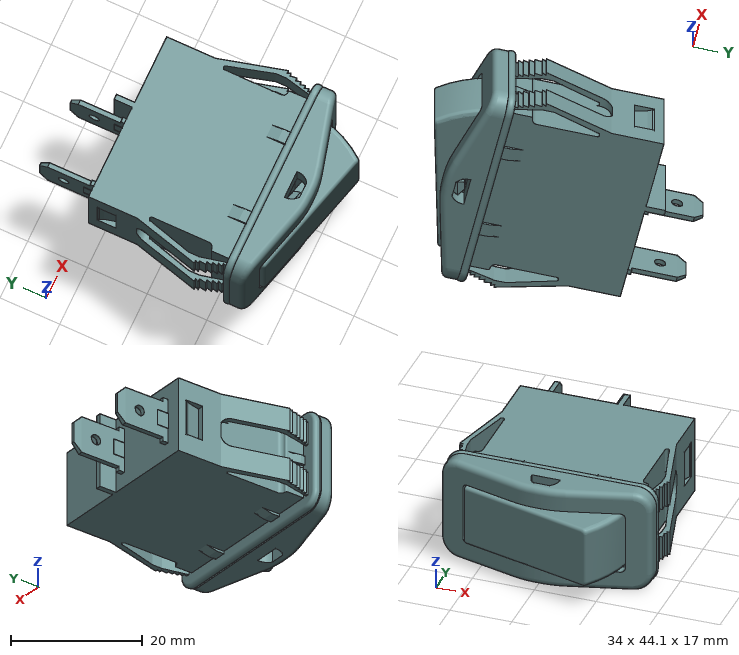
import cadquery as cq
import math

TILT = math.radians(15)

HOUSING_HEIGHT = 12.8
HOUSING_HALF_WIDTH = 14.1
HOUSING_BACK = 23.73

ARM_ROOT_Y = 15.55
ARM_TIP_X = 17.0
ARM_END_X = 15.35
TOOTH_EDGES_Y = (4.67, 4.1, 3.0, 2.15, 1.32, 0.6)
TOOTH_TAPER = 0.32
TOOTH_STEP = 0.5
ARM_SLOT_WIDTH = 4.85
ARM_SLOT_BACK = 15.7
ARM_SLOT_RADIUS = 1.8

GAP_WALL_X = 13.0
GAP_BACK = 13.85
GAP_END_RADIUS = 0.33
GAP_OUTER_X = 15.75
GAP_OUTER_BACK = 6.17
GAP_OUTER_FRONT = 4.4
GAP_FRONT_X = 14.77
FOOT_CURVE_BACK = 4.05
FOOT_CURVE_RADIUS = 0.8
FOOT_CORNER_RADIUS = HOUSING_HALF_WIDTH - GAP_WALL_X - FOOT_CURVE_RADIUS

WINDOW_HEIGHT = 6.0
WINDOW_BACK = 22.25
WINDOW_FRONT = 19.15
WINDOW_LEDGE_DEPTH = 0.2
WINDOW_LEDGE_FRONT = 21.95
WINDOW_RAMP_START_DEPTH = 0.55
WINDOW_RAMP_BACK = 21.3
WINDOW_DEPTH = 1.05

CATCH_SPACING = 14.02
CATCH_WIDTH = 2.07
CATCH_RISE = 0.45
CATCH_BACK = 3.18
CATCH_RAMP_END = 1.32
SIDE_CATCH_WIDTH = 1.55
SIDE_CATCH_RISE = 0.4
SIDE_CATCH_BACK = 2.75
SIDE_CATCH_RAMP_END = 0.65

BLADE_POSITIONS = (-11.05, 0)
BLADE_THICKNESS = 0.8
BLADE_WIDTH = 6.25
BLADE_TIP = 33.2
BLADE_CHAMFER = 1.4
BLADE_TAPER = 0.15
BLADE_HOLE_DIAMETER = 1.7
BLADE_HOLE_Y = 29.1
SHOULDER_WIDTH = 7.65
SHOULDER_BACK = 24.7
PAD_WIDTH = 2.65
PAD_BACK = 25.75
PAD_RISE = 0.1
BARRIER_X = 2.1
BARRIER_THICKNESS = 0.9
BARRIER_BACK = 26.75

BEZEL_WIDTH = 34.0
BEZEL_HEIGHT = 17.0
BEZEL_CORNER_RADIUS = 3.0
BEZEL_CREST_Y = -7.35
BEZEL_CREST_HALF_WIDTH = 0.5
BEZEL_CREST_RADIUS = 14.85
BEZEL_EDGE_RADIUS = 0.95
GASKET_THICKNESS = 1.3
GASKET_CORNER_RADIUS = 2.6
GASKET_BACK_RADIUS = 0.57
GASKET_FRONT_RADIUS = 0.5

OPENING_WIDTH = 26.3
OPENING_HEIGHT = 10.3
OPENING_CORNER_RADIUS = 0.8
OPENING_FLOOR = -3.1
PIVOT_DIAMETER = 4.5
PIVOT_Y = -3.85
PIVOT_BACK = -3.6
PIVOT_FRONT = -5.7

ROCKER_HEIGHT = 10.0
ROCKER_LEFT = -12.8
ROCKER_FRONT_AT_CENTER = -8.55
ROCKER_TIP_X = 9.0
ROCKER_END_MIDDLE = (11.4, -7.15)
ROCKER_END_BACK = (12.75, OPENING_FLOOR)
ROCKER_EDGE_RADIUS = 0.55
ROCKER_END_EDGE_RADIUS = 0.8
ROCKER_UNDERSIDE_AT_CENTER = -3.9
ROCKER_UNDERCUT_END = 2.65
LUG_DIAMETER = 3.0
LUG_CENTER = (-1.4, -4.8)
LUG_BACK_FLAT = 1.1
LUG_CORNER_FLAT = 0.65
LUG_CORNER_ANGLE = 150
LUG_TOP = 6.4
LUG_RAMP_DROP = 0.9


def block(x0, x1, y0, y1, height):
    """Box between two X and two Y places, centred on Z = 0."""
    return cq.Workplane("XY").box(x1 - x0, y1 - y0, height).translate(((x0 + x1) / 2, (y0 + y1) / 2, 0))


def prism(outline, height):
    """Closed outline extruded by the full height, half to each side of its plane."""
    return outline.close().extrude(height / 2, both=True)


def both_sides(solid):
    """The solid together with its mirror image across X = 0."""
    return solid.union(solid.mirror("YZ"))


def make_housing():
    outline = (
        cq.Workplane("XY")
        .moveTo(0, 0)
        .lineTo(0, HOUSING_BACK)
        .lineTo(HOUSING_HALF_WIDTH, HOUSING_BACK)
        .lineTo(HOUSING_HALF_WIDTH, ARM_ROOT_Y)
    )
    for y in TOOTH_EDGES_Y:
        crest_x = ARM_TIP_X - (TOOTH_EDGES_Y[0] - y) * TOOTH_TAPER
        outline = outline.lineTo(crest_x, y).lineTo(crest_x - TOOTH_STEP, y)
    half = prism(outline.lineTo(ARM_END_X, 0), HOUSING_HEIGHT)
    half = half.cut(make_arm_gap()).cut(make_arm_slot()).cut(make_side_window())
    return both_sides(half)


def make_arm_gap():
    end_y = GAP_BACK - GAP_END_RADIUS
    curve_x = GAP_WALL_X + FOOT_CURVE_RADIUS
    curve_y = FOOT_CURVE_BACK - FOOT_CURVE_RADIUS
    outline = (
        cq.Workplane("XY")
        .moveTo(GAP_FRONT_X, 0)
        .lineTo(GAP_OUTER_X, GAP_OUTER_FRONT)
        .lineTo(GAP_OUTER_X, GAP_OUTER_BACK)
        .lineTo(GAP_WALL_X + 2 * GAP_END_RADIUS, end_y)
        .threePointArc((GAP_WALL_X + GAP_END_RADIUS, GAP_BACK), (GAP_WALL_X, end_y))
        .lineTo(GAP_WALL_X, FOOT_CURVE_BACK)
        .radiusArc((curve_x, curve_y), -FOOT_CURVE_RADIUS)
        .radiusArc((HOUSING_HALF_WIDTH, curve_y - FOOT_CORNER_RADIUS), FOOT_CORNER_RADIUS)
        .lineTo(HOUSING_HALF_WIDTH, 0)
    )
    return prism(outline, HOUSING_HEIGHT)


def make_arm_slot():
    """Slot through the arm into the gap, stopping short of the solid foot beside the bezel."""
    slot = block(GAP_WALL_X, ARM_TIP_X, 0, ARM_SLOT_BACK, ARM_SLOT_WIDTH)
    slot = slot.edges("|X and >Y").fillet(ARM_SLOT_RADIUS)
    return slot.cut(block(GAP_WALL_X, HOUSING_HALF_WIDTH, 0, FOOT_CURVE_BACK, ARM_SLOT_WIDTH))


def make_side_window():
    wall = HOUSING_HALF_WIDTH
    outline = cq.Workplane("XY").polyline([
        (wall, WINDOW_BACK),
        (wall - WINDOW_LEDGE_DEPTH, WINDOW_BACK),
        (wall - WINDOW_LEDGE_DEPTH, WINDOW_LEDGE_FRONT),
        (wall - WINDOW_RAMP_START_DEPTH, WINDOW_RAMP_BACK),
        (wall - WINDOW_DEPTH, WINDOW_FRONT),
        (wall, WINDOW_FRONT),
    ])
    return prism(outline, WINDOW_HEIGHT)


def make_catches():
    side = HOUSING_HALF_WIDTH
    outline = cq.Workplane("XY").polyline([
        (side, SIDE_CATCH_BACK),
        (side + SIDE_CATCH_RISE, SIDE_CATCH_RAMP_END),
        (side + SIDE_CATCH_RISE, 0),
        (side, 0),
    ])
    catches = both_sides(prism(outline, SIDE_CATCH_WIDTH))
    top = HOUSING_HEIGHT / 2
    outline = cq.Workplane("YZ").polyline([
        (CATCH_BACK, top),
        (CATCH_RAMP_END, top + CATCH_RISE),
        (0, top + CATCH_RISE),
        (0, top),
    ])
    top_catches = both_sides(prism(outline, CATCH_WIDTH).translate((CATCH_SPACING / 2, 0, 0)))
    return catches.union(top_catches).union(top_catches.mirror("XY"))


def make_blade(x):
    left = x - BLADE_THICKNESS / 2
    right = x + BLADE_THICKNESS / 2
    blade = block(left, right, HOUSING_BACK, BLADE_TIP, BLADE_WIDTH)
    blade = blade.edges("|X and >Y").chamfer(BLADE_CHAMFER)
    tapered = cq.Workplane("XY").polyline([
        (left, HOUSING_BACK),
        (left, BLADE_TIP - BLADE_CHAMFER),
        (left + BLADE_TAPER, BLADE_TIP),
        (right - BLADE_TAPER, BLADE_TIP),
        (right, BLADE_TIP - BLADE_CHAMFER),
        (right, HOUSING_BACK),
    ])
    blade = blade.intersect(prism(tapered, BLADE_WIDTH))
    hole = cq.Workplane("YZ").center(BLADE_HOLE_Y, 0).circle(BLADE_HOLE_DIAMETER / 2)
    blade = blade.cut(hole.extrude(BLADE_THICKNESS, both=True).translate((x, 0, 0)))
    shoulder = block(left, right, HOUSING_BACK, SHOULDER_BACK, SHOULDER_WIDTH)
    pad = block(left - PAD_RISE, right, HOUSING_BACK, PAD_BACK, PAD_WIDTH)
    return blade.union(shoulder).union(pad)


def make_barrier():
    half = BARRIER_THICKNESS / 2
    return block(BARRIER_X - half, BARRIER_X + half, HOUSING_BACK, BARRIER_BACK, HOUSING_HEIGHT)


def make_gasket():
    half = BEZEL_WIDTH / 2
    gasket = block(-half, half, -GASKET_THICKNESS, 0, BEZEL_HEIGHT)
    gasket = gasket.edges("|Y").fillet(GASKET_CORNER_RADIUS)
    gasket = gasket.faces(">Y").edges().fillet(GASKET_BACK_RADIUS)
    return gasket.faces("<Y").edges().fillet(GASKET_FRONT_RADIUS)


def make_bezel():
    half = BEZEL_WIDTH / 2
    bend_x = BEZEL_CREST_HALF_WIDTH + BEZEL_CREST_RADIUS * math.sin(TILT)
    bend_y = BEZEL_CREST_Y + BEZEL_CREST_RADIUS * (1 - math.cos(TILT))
    side_y = bend_y + (half - bend_x) * math.tan(TILT)
    outline = (
        cq.Workplane("XY")
        .moveTo(-half, -GASKET_THICKNESS)
        .lineTo(-half, side_y)
        .lineTo(-bend_x, bend_y)
        .radiusArc((-BEZEL_CREST_HALF_WIDTH, BEZEL_CREST_Y), -BEZEL_CREST_RADIUS)
        .lineTo(BEZEL_CREST_HALF_WIDTH, BEZEL_CREST_Y)
        .radiusArc((bend_x, bend_y), -BEZEL_CREST_RADIUS)
        .lineTo(half, side_y)
        .lineTo(half, -GASKET_THICKNESS)
    )
    bezel = prism(outline, BEZEL_HEIGHT)
    bezel = bezel.edges("|Y").fillet(BEZEL_CORNER_RADIUS)
    return bezel.edges("(not |Y) and (not >Y)").fillet(BEZEL_EDGE_RADIUS)


def make_opening():
    half = OPENING_WIDTH / 2
    opening = block(-half, half, BEZEL_CREST_Y, OPENING_FLOOR, OPENING_HEIGHT)
    return opening.edges("|Y").fillet(OPENING_CORNER_RADIUS)


def make_pivot_window():
    half = PIVOT_DIAMETER / 2
    disc = cq.Workplane("XY").center(0, PIVOT_Y).circle(half).extrude(BEZEL_HEIGHT / 2, both=True)
    return disc.intersect(block(-half, half, PIVOT_FRONT, PIVOT_BACK, BEZEL_HEIGHT))


def make_rocker():
    slope = math.tan(TILT)
    outline = (
        cq.Workplane("XY")
        .moveTo(ROCKER_LEFT, OPENING_FLOOR)
        .lineTo(ROCKER_LEFT, ROCKER_FRONT_AT_CENTER - ROCKER_LEFT * slope)
        .lineTo(ROCKER_TIP_X, ROCKER_FRONT_AT_CENTER - ROCKER_TIP_X * slope)
        .threePointArc(ROCKER_END_MIDDLE, ROCKER_END_BACK)
    )
    rocker = prism(outline, ROCKER_HEIGHT)
    rocker = rocker.edges("%CIRCLE").fillet(ROCKER_END_EDGE_RADIUS)
    rocker = rocker.edges("not (>Y or %CIRCLE)").fillet(ROCKER_EDGE_RADIUS)
    wedge = cq.Workplane("XY").polyline([
        ((ROCKER_UNDERSIDE_AT_CENTER - OPENING_FLOOR) / slope, OPENING_FLOOR),
        (ROCKER_UNDERCUT_END, ROCKER_UNDERSIDE_AT_CENTER - ROCKER_UNDERCUT_END * slope),
        (ROCKER_UNDERCUT_END, OPENING_FLOOR),
    ])
    return rocker.cut(prism(wedge, ROCKER_HEIGHT))


def make_lugs():
    """Pivot lugs on both rocker sides, ramped toward the back and clipped at the back left."""
    radius = LUG_DIAMETER / 2
    lug = cq.Workplane("XY").circle(radius).extrude(LUG_TOP)
    lug = lug.intersect(block(-radius, radius, -radius, LUG_BACK_FLAT, 2 * LUG_TOP))
    clip = block(-LUG_DIAMETER, LUG_CORNER_FLAT, -LUG_DIAMETER, LUG_DIAMETER, 2 * LUG_TOP)
    lug = lug.intersect(clip.rotate((0, 0, 0), (0, 0, 1), LUG_CORNER_ANGLE))
    ramp = (
        cq.Workplane("YZ")
        .polyline([(0, LUG_TOP), (radius, LUG_TOP), (radius, LUG_TOP - LUG_RAMP_DROP)])
        .close()
        .extrude(radius, both=True)
    )
    lug = lug.cut(ramp).rotate((0, 0, 0), (0, 0, 1), -math.degrees(TILT))
    lug = lug.translate((*LUG_CENTER, 0))
    return lug.union(lug.mirror("XY"))


bezel = make_bezel().cut(make_opening()).cut(make_pivot_window())
result = make_housing().union(make_catches()).union(make_barrier())
for blade_x in BLADE_POSITIONS:
    result = result.union(make_blade(blade_x))
result = result.union(make_gasket()).union(bezel).union(make_rocker()).union(make_lugs())